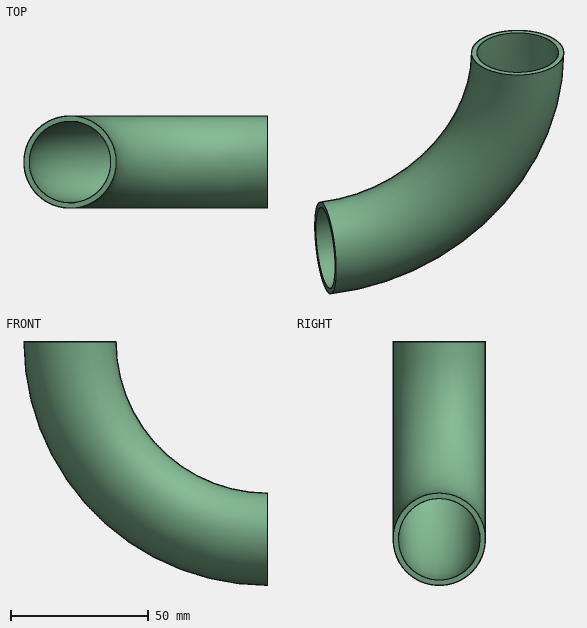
import cadquery as cq

overall_size = 88.85
outer_diameter = 33.7
inner_diameter = 29.7
bend_angle = 90.0

bend_radius = overall_size - outer_diameter / 2

pipe_section = (
    cq.Workplane("XY")
    .center(-bend_radius, 0)
    .circle(outer_diameter / 2)
    .circle(inner_diameter / 2)
)

result = pipe_section.revolve(
    bend_angle,
    axisStart=(bend_radius, 0, 0),
    axisEnd=(bend_radius, -1, 0),
)